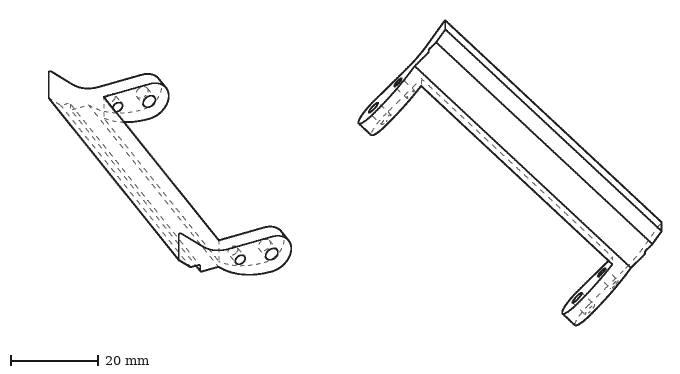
import cadquery as cq
import math

length = 69.0
eye_radius = 5.0
front_reach = 23.6
top_height = 13.4

arm_thickness = 4.0
crossbar_back = 11.5
pivot_diameter = 3.1
pin_diameter = 2.5
pin_forward = 8.0
pin_height = 1.0

lip_radius = 0.35
blend_radius = 9.4
front_face_bottom = 5.85
step_height = 2.8
step_forward = 18.15
step_edge_radius = 0.4
underside_height = 0.7
underside_back = 13.5

cos_45 = math.sqrt(0.5)
blend_angle = math.radians(45)

lip_center_forward = front_reach - lip_radius
lip_center_height = top_height - lip_radius
slope_end_forward = lip_center_forward - lip_radius * cos_45
slope_end_height = lip_center_height + lip_radius * cos_45

slope_foot_forward = slope_end_forward - (slope_end_height - eye_radius)
blend_tangent = blend_radius * math.tan(blend_angle / 2)
blend_start_forward = slope_foot_forward - blend_tangent
blend_end_forward = slope_foot_forward + blend_tangent * cos_45
blend_end_height = eye_radius + blend_tangent * cos_45
blend_center_height = eye_radius + blend_radius
blend_mid_forward = blend_start_forward + blend_radius * math.sin(blend_angle / 2)
blend_mid_height = blend_center_height - blend_radius * math.cos(blend_angle / 2)

belly_rise = underside_height + eye_radius
belly_radius = (underside_back**2 + belly_rise**2) / (2 * belly_rise)
belly_center_height = belly_radius - eye_radius
belly_half_angle = math.asin(underside_back / belly_radius) / 2
belly_mid_forward = belly_radius * math.sin(belly_half_angle)
belly_mid_height = belly_center_height - belly_radius * math.cos(belly_half_angle)

bevel_end_forward = front_reach - (front_face_bottom - step_height)


def point(forward, height):
    """Profile point on the YZ plane, measured forward and up from the pivot."""
    return (-forward, height)


def make_side_body():
    """Full-length extrusion of the side profile."""
    lip_mid_angle = math.radians(67.5)
    lip_mid = point(
        lip_center_forward + lip_radius * math.cos(lip_mid_angle),
        lip_center_height + lip_radius * math.sin(lip_mid_angle),
    )
    body = (
        cq.Workplane("YZ", origin=(-length / 2, 0, 0))
        .moveTo(*point(0, -eye_radius))
        .threePointArc(point(-eye_radius, 0), point(0, eye_radius))
        .lineTo(*point(blend_start_forward, eye_radius))
        .threePointArc(
            point(blend_mid_forward, blend_mid_height),
            point(blend_end_forward, blend_end_height),
        )
        .lineTo(*point(slope_end_forward, slope_end_height))
        .threePointArc(lip_mid, point(front_reach, lip_center_height))
        .lineTo(*point(front_reach, front_face_bottom))
        .lineTo(*point(bevel_end_forward, step_height))
        .lineTo(*point(step_forward, step_height))
        .lineTo(*point(step_forward, underside_height))
        .lineTo(*point(underside_back, underside_height))
        .threePointArc(
            point(belly_mid_forward, belly_mid_height),
            point(0, -eye_radius),
        )
        .close()
        .extrude(length)
    )
    step_edges = cq.selectors.BoxSelector(
        (-length, -step_forward - step_edge_radius, underside_height - step_edge_radius),
        (length, -step_forward + step_edge_radius, step_height + step_edge_radius),
    )
    return body.edges("|X").edges(step_edges).fillet(step_edge_radius)


def make_arm_gap():
    """Space between the two arms, behind the crossbar."""
    gap_length = length - 2 * arm_thickness
    gap_depth = crossbar_back + 2 * eye_radius
    gap_height = 4 * eye_radius
    return (
        cq.Workplane("XY")
        .box(gap_length, gap_depth, gap_height, centered=(True, False, True))
        .translate((0, -crossbar_back, 0))
    )


def make_cross_hole(diameter, forward, height):
    """Round hole along X through both arms."""
    return (
        cq.Workplane("YZ", origin=(-length / 2, 0, 0))
        .center(*point(forward, height))
        .circle(diameter / 2)
        .extrude(length)
    )


result = (
    make_side_body()
    .cut(make_arm_gap())
    .cut(make_cross_hole(pivot_diameter, 0, 0))
    .cut(make_cross_hole(pin_diameter, pin_forward, pin_height))
)